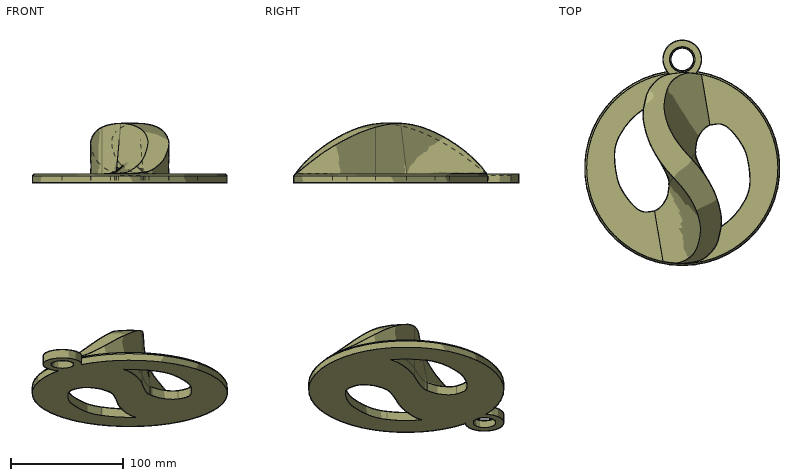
import math

import cadquery as cq

plate_radius = 86.855
plate_height = 8.0
rim_chamfer = 1.8

overall_length = 200.7
eyelet_radius = 17.2
eyelet_bore_radius = 10.0
eyelet_bore_chamfer = 1.3
eyelet_y = overall_length - plate_radius - eyelet_radius

overall_height = 53.53
fin_rim_gap = 0.1
fin_rim_lip = 0.2
fin_end_radius = plate_radius - rim_chamfer - fin_rim_gap

crown_drop = overall_height - plate_height - fin_rim_lip
crown_radius = (fin_end_radius**2 + crown_drop**2) / (2 * crown_drop)
crown_center_z = overall_height - crown_radius

opening_arc_radius = 62.6
opening_arc_start_angle = 152.0

crest_end_angle = 258.4
wall_start_angle = 90.0


def polar(radius, angle):
    """Plan point at a radius and an angle in degrees."""
    return (radius * math.cos(math.radians(angle)), radius * math.sin(math.radians(angle)))


crest_end = polar(fin_end_radius, crest_end_angle)
opening_corner_x = -34.6
opening_corner = (opening_corner_x, math.sqrt(opening_arc_radius**2 - opening_corner_x**2))
first_seam = (-24.9, 13.9)
wall_plan = [
    polar(fin_end_radius, wall_start_angle),
    (-12.5, 83.2),
    (-20.4, 79.8),
    (-26.5, 74.1),
    (-31.5, 65.6),
    opening_corner,
    (-34.7, 42.5),
    (-32.4, 31.8),
    (-29.0, 22.2),
    first_seam,
]
twist_crest_plan = [first_seam, (-21.0, 7.7), (-16.1, 0.8), (-8.0, -8.5)]
twist_foot_plan = [first_seam, (-20.6, 6.9), (-14.3, -5.0), (-12.1, -13.9)]
sweep_crest_plan = [
    twist_crest_plan[-1],
    (1.8, -19.7),
    (9.7, -31.8),
    (14.7, -44.5),
    (16.1, -56.5),
    (14.0, -68.1),
    (8.8, -77.7),
    (-0.5, -83.5),
    (-8.5, -84.35),
    crest_end,
]
sweep_foot_plan = [
    twist_foot_plan[-1],
    (-12.0, -17.3),
    (-12.5, -20.9),
    (-13.3, -24.9),
    (-15.0, -28.7),
    (-17.9, -33.1),
    (-21.3, -36.3),
    (-24.7, -38.1),
]
opening_side_plan = [
    sweep_foot_plan[-1],
    (-30.5, -39.0),
    (-37.2, -38.0),
    (-44.9, -31.8),
    (-52.1, -22.2),
    (-56.8, -12.5),
    (-59.4, 0.0),
    (-60.2, 12.5),
    (-58.4, 22.5),
    polar(opening_arc_radius, opening_arc_start_angle),
]


def on_plate(plan):
    """Lift a plan point to the top of the plate."""
    return cq.Vector(*plan, plate_height)


def on_crown(plan):
    """Lift a plan point to the spherical crown."""
    return cq.Vector(*plan, crown_center_z + math.sqrt(crown_radius**2 - math.hypot(*plan) ** 2))


def spline(plan):
    """Spline on top of the plate, with evenly spaced parameters so that the points are its knots."""
    return cq.Edge.makeSpline([on_plate(p) for p in plan], parameters=range(len(plan)))


def concentric_arc(radius, start_angle, end_angle):
    """Arc about the plate axis, on top of the plate."""
    angles = (start_angle, (start_angle + end_angle) / 2, end_angle)
    return cq.Edge.makeThreePointArc(*[on_plate(polar(radius, angle)) for angle in angles])


def with_twins(shapes):
    """The shapes, followed by their copies turned half a turn about Z."""
    return [*shapes, *[s.rotate(cq.Vector(), cq.Vector(0, 0, 1), 180) for s in shapes]]


def make_blank():
    """Plate and eyelet, before the fin and the openings are added."""
    plate = cq.Workplane().circle(plate_radius).extrude(plate_height).faces(">Z").chamfer(rim_chamfer)
    eyelet = cq.Workplane().center(0, eyelet_y).circle(eyelet_radius).extrude(plate_height)
    bore = cq.Workplane().center(0, eyelet_y).circle(eyelet_bore_radius).extrude(plate_height)
    countersink = cq.Solid.makeCone(
        eyelet_bore_radius,
        eyelet_bore_radius + eyelet_bore_chamfer,
        eyelet_bore_chamfer,
        pnt=cq.Vector(0, eyelet_y, plate_height - eyelet_bore_chamfer),
    )
    return plate.union(eyelet).cut(bore).cut(cq.Workplane(countersink))


wall_foot = spline(wall_plan)
corner_parameter = wall_plan.index(opening_corner)
wall_foot_on_plate = wall_foot.trim(0, corner_parameter)
wall_foot_at_opening = wall_foot.trim(corner_parameter, len(wall_plan) - 1)
twist_foot = spline(twist_foot_plan)
sweep_foot = spline(sweep_foot_plan)
sweep_end_line = cq.Edge.makeLine(on_plate(sweep_foot_plan[-1]), on_plate(crest_end))
rim_arc = concentric_arc(fin_end_radius, crest_end_angle, wall_start_angle + 180)
opening_corner_angle = math.degrees(math.atan2(opening_corner[1], opening_corner[0]))
opening_edge = [
    spline(opening_side_plan),
    concentric_arc(opening_arc_radius, opening_arc_start_angle, opening_corner_angle),
]


def make_fin_core():
    """Upright prism under the crest outline, capped by the spherical crown."""
    crest_outline = [wall_foot, spline(twist_crest_plan), spline(sweep_crest_plan), rim_arc]
    outline = cq.Wire.assembleEdges(with_twins(crest_outline))
    prism = cq.Solid.extrudeLinear(outline, [], cq.Vector(0, 0, overall_height))
    ball = cq.Workplane("YZ").sphere(crown_radius).translate((0, 0, crown_center_z))
    return ball.intersect(cq.Workplane(prism))


def nearest(shapes, point):
    return min(shapes, key=lambda s: s.distance(cq.Vertex.makeVertex(*point.toTuple())))


def make_fin_faces():
    """Crown, rim lips and both flanks of the fin."""
    core = make_fin_core()
    crown = core.faces("%SPHERE").val()

    def crest_above(plan):
        """Crest edge that passes through the middle point of a plan list."""
        return nearest(crown.Edges(), on_crown(plan[len(plan) // 2]))

    wall = nearest(core.faces("%EXTRUSION").vals(), on_plate(opening_corner))
    twist = cq.Face.makeRuledSurface(twist_foot, crest_above(twist_crest_plan))
    sweep = cq.Face.makeRuledSurface(sweep_foot, crest_above(sweep_crest_plan))
    end_corners = [on_plate(sweep_foot_plan[-1]), on_plate(crest_end), on_crown(crest_end)]
    sweep_end = cq.Face.makeFromWires(cq.Wire.makePolygon(end_corners, close=True))
    return [crown, *core.faces("%CYLINDER").vals(), *with_twins([wall, twist, sweep, sweep_end])]


def make_part():
    """Sew the faces of the blank, the openings and the fin into one solid."""
    blank = make_blank()
    to_bottom = cq.Vector(0, 0, -plate_height)

    opening_outline = [wall_foot_at_opening, twist_foot, sweep_foot, *opening_edge]
    opening_walls = [cq.Face.makeRuledSurface(e, e.translate(to_bottom)) for e in opening_outline]

    underside = blank.faces("<Z").val()
    bottom_outline = cq.Wire.assembleEdges([e.translate(to_bottom) for e in opening_outline])
    bottom = cq.Face.makeFromWires(
        underside.outerWire(), underside.innerWires() + with_twins([bottom_outline])
    )

    upside = blank.faces(">Z").val()
    top_outline = [*opening_edge, wall_foot_on_plate, rim_arc, sweep_end_line]
    top = cq.Face.makeFromWires(
        upside.outerWire(), upside.innerWires() + [cq.Wire.assembleEdges(with_twins(top_outline))]
    )

    sides = blank.faces("not(<Z or >Z)").vals()
    shell = cq.Shell.makeShell([top, bottom, *sides, *with_twins(opening_walls), *make_fin_faces()])
    return cq.Solid.makeSolid(shell).fix()


result = cq.Workplane(make_part())